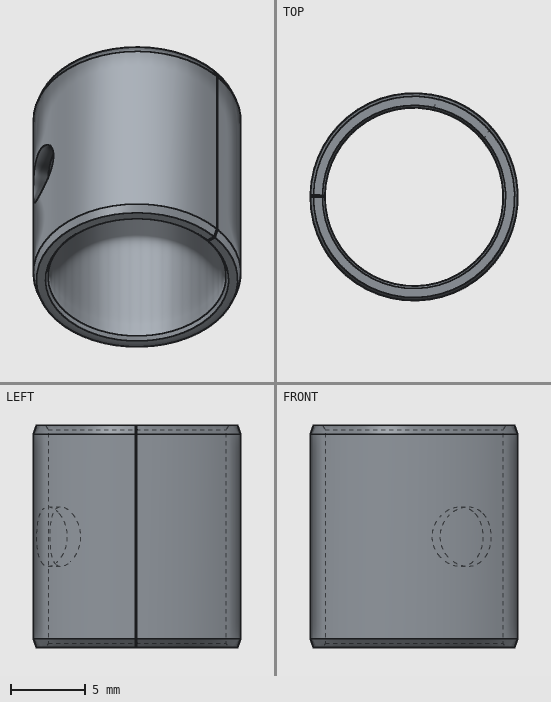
import cadquery as cq
import math

length = 15.0
outer_diameter = 14.0
bore_diameter = 12.0
outer_chamfer_height = 0.6
outer_chamfer_angle = 20.0
inner_chamfer_height = 0.3
inner_chamfer_angle = 30.0
slit_angle = 1.0
hole_diameter = 4.0
hole_azimuth = 59.0

outer_radius = outer_diameter / 2
bore_radius = bore_diameter / 2
half_length = length / 2
outer_chamfer_depth = outer_chamfer_height * math.tan(math.radians(outer_chamfer_angle))
inner_chamfer_depth = inner_chamfer_height * math.tan(math.radians(inner_chamfer_angle))


def make_sleeve():
    """Revolve the chamfered wall from the -X side, stopping short to leave the slit."""
    return (
        cq.Workplane("XZ")
        .moveTo(bore_radius, -half_length + inner_chamfer_height)
        .lineTo(bore_radius + inner_chamfer_depth, -half_length)
        .lineTo(outer_radius - outer_chamfer_depth, -half_length)
        .lineTo(outer_radius, -half_length + outer_chamfer_height)
        .lineTo(outer_radius, half_length - outer_chamfer_height)
        .lineTo(outer_radius - outer_chamfer_depth, half_length)
        .lineTo(bore_radius + inner_chamfer_depth, half_length)
        .lineTo(bore_radius, half_length - inner_chamfer_height)
        .close()
        .revolve(360 - slit_angle, (0, 0, 0), (0, 1, 0))
        .rotate((0, 0, 0), (0, 0, 1), 180)
    )


def make_oil_hole():
    """Radial cylinder through one wall at mid length."""
    return (
        cq.Workplane("YZ")
        .circle(hole_diameter / 2)
        .extrude(outer_diameter)
        .rotate((0, 0, 0), (0, 0, 1), hole_azimuth)
    )


result = make_sleeve().cut(make_oil_hole())